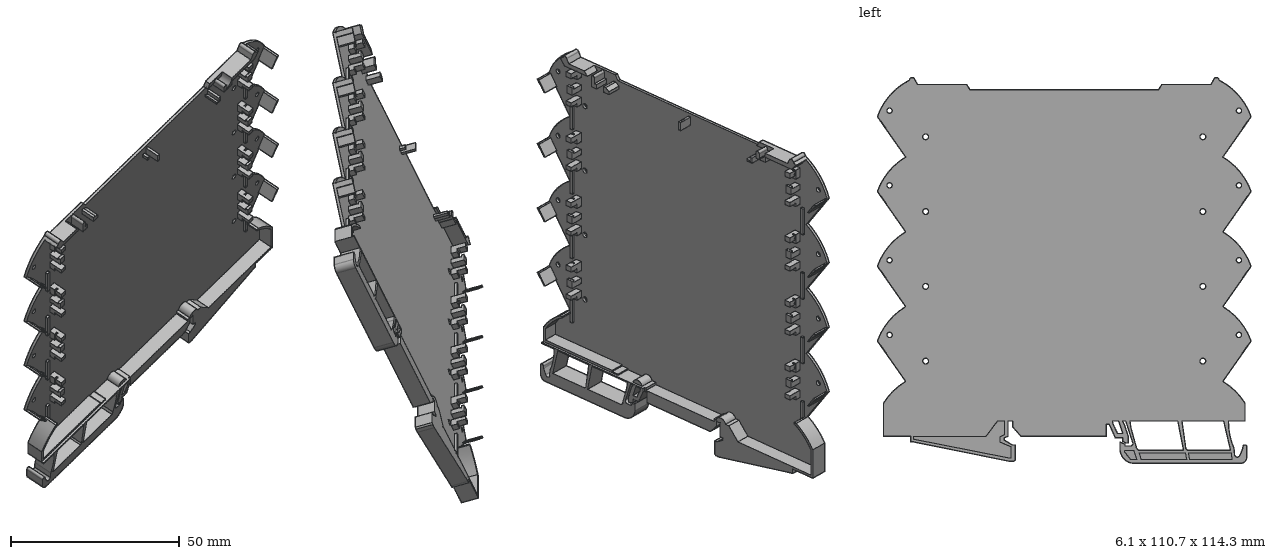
import cadquery as cq
import math


DEPTH = 6.1
WALL_DEPTH = 5.35
PLATE = 0.9
RIM_DEPTH = 1.65
LATCH_RECESS_DEPTH = 2.0
FOOT_POCKET_DEPTH = 2.6

HALF_LENGTH = 110.74 / 2
HEIGHT = 114.32
TEETH = 4
PITCH = 22.15
TOP_TIP_Z = 102.7
NOTCH_Y = 47.0
NOTCH_RISE = 10.2
TOOTH_BULGE = 1.15

TIPS = [TOP_TIP_Z - PITCH * i for i in range(TEETH)]
BASE_TIP_Z = TOP_TIP_Z - PITCH * TEETH
TOOTH_RUN = HALF_LENGTH - NOTCH_Y
FLANK_SLOPE = TOOTH_RUN / (PITCH - NOTCH_RISE)

CHORD = math.hypot(TOOTH_RUN, NOTCH_RISE)
ARC_RADIUS = (CHORD**2 / 4 + TOOTH_BULGE**2) / (2 * TOOTH_BULGE)
CENTRE_SHIFT = ARC_RADIUS - TOOTH_BULGE
ARC_Y = HALF_LENGTH - TOOTH_RUN / 2 - CENTRE_SHIFT * NOTCH_RISE / CHORD
ARC_RISE = NOTCH_RISE / 2 - CENTRE_SHIFT * TOOTH_RUN / CHORD

MIDDLE_Z = 110.7
SHELF_Z = 112.3
SHELF_BOTTOM_Z = 110.9
SHELF_LIP_Y = 46.9
SHELF_START_Y = 43.45
SHELF_END_POS = 34.7
SHELF_END_NEG = 37.3
CREST_Y = 45.1
CREST_OUTER_Y = 45.9
CREST_INNER = (44.3, 113.8)
STEP_Y = 28.9
STEP_RUN = 1.0

WALL = 0.8
BASE_HALF = 53.6
BASE_Z = 8.0
FOOT_ROOF_Z = 12.5
FLOOR_Z = BASE_Z + WALL
MIDDLE_FLOOR_Z = 12.1
ROOF_STEP = 0.4
ROOF_Z = FOOT_ROOF_Z + ROOF_STEP
ROOF_STEPS_Y = (-23.9, -26.2)
BUMP_RISE = 1.4
BUMP_LATCH_Y = (15.1, 18.9)
BUMP_FOOT_Y = (-17.9, -14.3)
MIDDLE_FLOOR_Y = (-12.8, 14.2)
BASE_SLOT_Y = -12.45
BASE_SLOT_END_Y = -13.3
BASE_SLOT_TOP_Z = 11.6
BASE_UNDERSIDE = [
    (-BASE_HALF, FOOT_ROOF_Z), (BASE_SLOT_END_Y, FOOT_ROOF_Z), (BASE_SLOT_END_Y, BASE_SLOT_TOP_Z),
    (BASE_SLOT_Y, BASE_SLOT_TOP_Z), (BASE_SLOT_Y, BASE_Z),
]

LATCH_OUTLINE = [
    (45.5, BASE_Z), (45.5, 6.4), (44.9, 6.4), (16.3, 0.6), (15.0, 0.6), (14.5, 1.0), (14.5, 5.5),
    (15.4, 5.5), (17.7, 6.9), (17.7, 7.6), (16.6, BASE_Z), (16.6, FOOT_ROOF_Z), (19.8, FOOT_ROOF_Z),
    (23.2, BASE_Z),
]
LATCH_RECESS = [
    (44.7, BASE_Z), (44.7, 7.2), (16.1, 1.55), (15.7, 1.55), (15.7, 4.9), (19.0, 6.3), (19.0, 7.9),
    (17.75, 8.5), (17.75, FOOT_ROOF_Z), (19.8, FOOT_ROOF_Z), (23.2, BASE_Z),
]
LATCH_SLOT = [
    (16.6, FOOT_ROOF_Z), (15.3, FOOT_ROOF_Z), (15.3, 10.8), (12.8, BASE_Z), (16.6, BASE_Z),
]

POCKET_TOP_Z = 3.1
POCKET_BOTTOM_Z = 1.1
WINDOW_BOTTOM_Z = 3.95
FOOT_WINDOWS = [
    [(-14.3, FOOT_ROOF_Z), (-16.1, FOOT_ROOF_Z), (-17.3, 8.9), (-15.8, 8.9), (-14.5, 11.6)],
    [(-19.5, FOOT_ROOF_Z), (-33.6, FOOT_ROOF_Z), (-35.3, WINDOW_BOTTOM_Z), (-21.9, WINDOW_BOTTOM_Z),
     (-21.4, 4.7), (-19.8, 10.5)],
    [(-34.9, FOOT_ROOF_Z), (-47.2, FOOT_ROOF_Z), (-49.2, WINDOW_BOTTOM_Z), (-36.5, WINDOW_BOTTOM_Z),
     (-36.05, 4.4)],
]
FOOT_POCKETS = [
    [(-18.0, 3.9), (-20.6, 3.9), (-21.5, POCKET_BOTTOM_Z), (-19.7, POCKET_BOTTOM_Z), (-17.8, 3.5)],
    [(-22.2, POCKET_TOP_Z), (-35.9, POCKET_TOP_Z), (-36.3, POCKET_BOTTOM_Z), (-22.8, POCKET_BOTTOM_Z)],
    [(-36.8, POCKET_TOP_Z), (-49.5, POCKET_TOP_Z), (-49.7, POCKET_BOTTOM_Z), (-37.1, POCKET_BOTTOM_Z)],
]

LIP_DROP = 1.3
LIP_STEP = 0.2
HOOK_DROP = 3.5
HOOK_THICK = 0.7
POST_Y = (42.5, 44.5)
POST_SPLIT = (2.75, 3.2)
POST_SPLIT_Y = (43.5, 44.5)
UPPER_STEP = (3.4, 4.8)
UPPER_POST = (4.8, 6.5)
UPPER_SPLIT = (5.1, 6.5)
LOWER_POST = (-4.9, -3.5)
LOWER_STEP = (-6.0, -4.9)
TIP_STOP = (-1.0, 0.8)
TIP_NIB = (0.8, 1.5)
TIP_NIB_X = (4.1, 4.95)
NOTCH_RIB_Y = (45.4, 46.4)
NOTCH_RIB = (-15.5, -6.6)

HOLES = [(51.75, 1.8, 1.5), (41.05, -5.95, 1.65)]


def arc_rise(y, inset=0.0):
    """Height of the tooth arc above its tip at a distance y from the middle."""
    return ARC_RISE + math.sqrt((ARC_RADIUS - inset) ** 2 - (y - ARC_Y) ** 2)


def arc_point(tip_z, y, side=1, inset=0.0):
    return (side * y, tip_z + arc_rise(y, inset))


def tooth_arc(sketch, tip_z, y_start, y_end, side, inset=0.0):
    """Adds the tooth arc between two distances from the middle."""
    middle = arc_point(tip_z, (y_start + y_end) / 2, side, inset)
    return sketch.threePointArc(middle, arc_point(tip_z, y_end, side, inset))


def start(point):
    return cq.Workplane("YZ").moveTo(*point)


def lines(sketch, points):
    for point in points:
        sketch = sketch.lineTo(*point)
    return sketch


def extrude(sketch, x_start, x_end):
    return sketch.close().extrude(x_end - x_start).translate((x_start, 0, 0))


def prism(points, x_start, x_end):
    return extrude(cq.Workplane("YZ").polyline(points), x_start, x_end)


def block(y_range, z_range, x_start, x_end):
    (y0, y1), (z0, z1) = y_range, z_range
    return prism([(y0, z0), (y1, z0), (y1, z1), (y0, z1)], x_start, x_end)


def both_ends(shape):
    return shape.union(shape.mirror("XZ"))


def side_plate():
    crest_outer = arc_point(TOP_TIP_Z, CREST_OUTER_Y, -1)
    top_edge = [(SHELF_START_Y, SHELF_Z), (STEP_Y, SHELF_Z), (STEP_Y - STEP_RUN, MIDDLE_Z)]
    mirrored_top_edge = [(-y, z) for y, z in reversed(top_edge)]

    sketch = start((BASE_HALF, BASE_Z)).lineTo(*arc_point(BASE_TIP_Z, BASE_HALF))
    sketch = tooth_arc(sketch, BASE_TIP_Z, BASE_HALF, NOTCH_Y, 1)
    for tip_z in reversed(TIPS):
        end_y = CREST_OUTER_Y if tip_z == TOP_TIP_Z else NOTCH_Y
        sketch = tooth_arc(sketch.lineTo(HALF_LENGTH, tip_z), tip_z, HALF_LENGTH, end_y, 1)
    sketch = sketch.threePointArc((CREST_Y, HEIGHT), CREST_INNER)
    sketch = lines(sketch, top_edge + mirrored_top_edge)
    sketch = sketch.lineTo(-CREST_INNER[0], CREST_INNER[1])
    sketch = sketch.threePointArc((-CREST_Y, HEIGHT), crest_outer)
    for tip_z in TIPS:
        start_y = CREST_OUTER_Y if tip_z == TOP_TIP_Z else NOTCH_Y
        sketch = tooth_arc(sketch, tip_z, start_y, HALF_LENGTH, -1)
        sketch = sketch.lineTo(*arc_point(tip_z - PITCH, NOTCH_Y, -1))
    sketch = tooth_arc(sketch, BASE_TIP_Z, NOTCH_Y, BASE_HALF, -1)
    return extrude(lines(sketch, BASE_UNDERSIDE), 0, PLATE)


def base_bump(sketch, y_start, y_end):
    """Rounded rise of the base floor over a slot."""
    return sketch.threePointArc(((y_start + y_end) / 2, ROOF_Z + BUMP_RISE), (y_end, ROOF_Z))


def base_tray():
    """Walled base up to the lowest notches, hollow and open towards +X."""
    outer = start((BASE_HALF, BASE_Z)).lineTo(*arc_point(BASE_TIP_Z, BASE_HALF))
    outer = tooth_arc(outer, BASE_TIP_Z, BASE_HALF, NOTCH_Y, 1)
    outer = outer.lineTo(*arc_point(BASE_TIP_Z, NOTCH_Y, -1))
    outer = tooth_arc(outer, BASE_TIP_Z, NOTCH_Y, BASE_HALF, -1)
    outer = lines(outer, BASE_UNDERSIDE)

    side_y = BASE_HALF - WALL
    top_y = NOTCH_Y - WALL
    first_step, second_step = ROOF_STEPS_Y
    raised_z = ROOF_Z + ROOF_STEP
    highest_z = raised_z + ROOF_STEP
    floor_neg, floor_pos = MIDDLE_FLOOR_Y
    inner = start((side_y, FLOOR_Z)).lineTo(*arc_point(BASE_TIP_Z, side_y, 1, WALL))
    inner = tooth_arc(inner, BASE_TIP_Z, side_y, top_y, 1, WALL)
    inner = lines(inner, [(top_y, HEIGHT), (-top_y, HEIGHT), arc_point(BASE_TIP_Z, top_y, -1, WALL)])
    inner = tooth_arc(inner, BASE_TIP_Z, top_y, side_y, -1, WALL)
    inner = lines(inner, [(-side_y, highest_z), (second_step, highest_z), (second_step, raised_z),
                          (first_step, raised_z), (first_step, ROOF_Z), (BUMP_FOOT_Y[0], ROOF_Z)])
    inner = base_bump(inner, *BUMP_FOOT_Y)
    inner = lines(inner, [(floor_neg, ROOF_Z), (floor_neg, MIDDLE_FLOOR_Z), (floor_pos, MIDDLE_FLOOR_Z),
                          (floor_pos, ROOF_Z), (BUMP_LATCH_Y[0], ROOF_Z)])
    inner = base_bump(inner, *BUMP_LATCH_Y)
    inner = lines(inner, [(20.2, ROOF_Z), (23.8, FLOOR_Z)])
    return extrude(outer, 0, WALL_DEPTH).cut(extrude(inner, PLATE, WALL_DEPTH))


def add_latch(body):
    """Wedge-shaped latch beside a slot, with its web set back from the plate face."""
    body = body.cut(prism(LATCH_SLOT, 0, WALL_DEPTH))
    body = body.union(prism(LATCH_OUTLINE, 0, WALL_DEPTH))
    return body.cut(prism(LATCH_RECESS, 0, LATCH_RECESS_DEPTH))


def foot():
    """Ribbed rail foot with two spring fingers, a sole with pockets and an upturned end."""
    sketch = start((-16.5, 6.4)).lineTo(-16.5, 3.9)
    sketch = sketch.threePointArc((-17.75, 1.25), (-20.4, 0)).lineTo(-52.2, 0)
    sketch = sketch.threePointArc((-53.5, 0.5), (-54.1, 1.8)).lineTo(-54.1, 4.9)
    sketch = sketch.threePointArc((-53.5, 5.5), (-52.9, 4.9))
    sketch = lines(sketch, [(-52.8, 4.3), (-52.0, 2.4)])
    sketch = sketch.threePointArc((-51.2, 1.9), (-50.5, 2.4)).lineTo(-50.3, 4.5)
    sketch = sketch.threePointArc((-49.0, 8.7), (-48.7, FOOT_ROOF_Z))
    sketch = lines(sketch, [(-BASE_HALF, FOOT_ROOF_Z), (-BASE_HALF, ROOF_Z), (BASE_SLOT_END_Y, ROOF_Z),
                            (BASE_SLOT_END_Y, BASE_SLOT_TOP_Z)])
    sketch = lines(sketch, [(-15.1, 7.6), (-17.3, 7.6), (-17.3, 6.5), (-18.3, 6.0), (-19.0, 6.0),
                            (-19.0, 8.0), (-17.8, 11.6), (-17.3, FOOT_ROOF_Z), (-18.2, FOOT_ROOF_Z),
                            (-20.2, 6.3)])
    sketch = sketch.threePointArc((-20.2, 5.5), (-19.5, 5.2))
    shape = extrude(lines(sketch, [(-18.0, 5.2), (-18.0, 5.7)]), 0, DEPTH)
    for window in FOOT_WINDOWS:
        shape = shape.cut(prism(window, 0, DEPTH))
    for pocket in FOOT_POCKETS:
        shape = shape.cut(prism(pocket, 0, FOOT_POCKET_DEPTH))
    return shape


def terminal_hook(tip_z):
    """Hook along the lower flank of a tooth, with a lip at the tip."""
    def flank(drop_start, drop_end, inset):
        corners = [(drop_start, inset), (drop_end, inset), (drop_end, HOOK_THICK), (drop_start, HOOK_THICK)]
        points = [(HALF_LENGTH - FLANK_SLOPE * drop - inward, tip_z - drop) for drop, inward in corners]
        return prism(points, 0, DEPTH)

    return flank(0, LIP_DROP, 0).union(flank(LIP_DROP, HOOK_DROP, LIP_STEP))


def terminal_posts(tip_z):
    """Stepped posts above, beside and below the tip; the upper one is split at its front."""
    def post(rise, x_end, x_start=0.0, y_range=POST_Y):
        return block(y_range, (tip_z + rise[0], tip_z + rise[1]), x_start, x_end)

    split_start, split_end = POST_SPLIT
    nib_start, nib_end = TIP_NIB_X
    upper = post(UPPER_POST, WALL_DEPTH).cut(post(UPPER_SPLIT, split_end, split_start, POST_SPLIT_Y))
    upper = upper.union(post(UPPER_STEP, split_start))
    beside = post(TIP_STOP, nib_end).union(post(TIP_NIB, nib_end, nib_start))
    lower = post(LOWER_POST, WALL_DEPTH).union(post(LOWER_STEP, split_start))
    return upper.union(beside).union(lower)


def notch_rib(tip_z):
    """Low upright rib just inside the notch below a tooth."""
    return block(NOTCH_RIB_Y, (tip_z + NOTCH_RIB[0], tip_z + NOTCH_RIB[1]), 0, RIM_DEPTH)


def shelf(end_y):
    """Flat wall along the top edge with a rounded crest and an undercut lip at its outer end."""
    sketch = start((CREST_Y, SHELF_BOTTOM_Z)).lineTo(*arc_point(TOP_TIP_Z, SHELF_LIP_Y))
    sketch = tooth_arc(sketch, TOP_TIP_Z, SHELF_LIP_Y, CREST_OUTER_Y, 1)
    sketch = sketch.threePointArc((CREST_Y, HEIGHT), CREST_INNER)
    sketch = lines(sketch, [(SHELF_START_Y, SHELF_Z), (end_y, SHELF_Z), (end_y, SHELF_BOTTOM_Z)])
    return extrude(sketch, 0, WALL_DEPTH)


def top_edge_walls():
    """Shelves at both ends of the top edge, with their inner ends and the thick edge beside."""
    thick_edge = [(SHELF_END_POS, SHELF_Z), (STEP_Y, SHELF_Z), (STEP_Y - STEP_RUN, MIDDLE_Z),
                  (SHELF_END_POS, MIDDLE_Z)]
    hollow_end = start((SHELF_END_POS, SHELF_Z)).threePointArc((33.9, 110.6), (32.4, 109.7))
    hollow_end = lines(hollow_end, [(32.4, 109.2), (SHELF_END_POS, 109.2)])
    sloped_end = [(-SHELF_END_NEG, SHELF_Z), (-36.1, SHELF_BOTTOM_Z), (-SHELF_END_NEG, SHELF_BOTTOM_Z)]

    walls = [
        shelf(SHELF_END_POS),
        prism(thick_edge, 0, RIM_DEPTH),
        extrude(hollow_end, 0, WALL_DEPTH),
        shelf(SHELF_END_NEG).mirror("XZ"),
        prism(sloped_end, 0, WALL_DEPTH),
    ]
    return walls


def rounded_rib(y_start, y_end, bottom_z, top_z):
    """Rib standing off the plate with a fully rounded top."""
    radius = (y_end - y_start) / 2
    sketch = start((y_start, bottom_z)).lineTo(y_start, top_z - radius)
    sketch = sketch.threePointArc((y_start + radius, top_z), (y_end, top_z - radius))
    return extrude(sketch.lineTo(y_end, bottom_z), 0, WALL_DEPTH)


def top_edge_ribs():
    """Catches near the shelves and a stop at the middle of the top edge."""
    catch_pos = [(29.4, 106.8), (29.4, 108.6), (28.6, 108.6), (28.6, 107.0), (27.5, 107.7), (27.5, 106.8)]
    catch_neg = [(-29.6, 108.0), (-29.6, 109.9), (-28.8, 109.9), (-27.5, 109.0), (-27.5, 108.0)]
    ribs = [
        rounded_rib(31.0, 32.3, 109.2, 111.8),
        prism(catch_pos, 0, WALL_DEPTH),
        rounded_rib(-34.5, -33.3, 108.0, 112.0),
        block((-33.4, -32.4), (108.0, 109.5), 0, WALL_DEPTH),
        prism(catch_neg, 0, WALL_DEPTH),
        block((0.2, 1.0), (106.8, 109.6), 0, WALL_DEPTH),
        block((-1.4, -0.6), (106.8, 108.0), 0, POST_SPLIT[0]),
    ]
    return ribs


def plate_holes(tip_z):
    """Through holes beside a tooth on the +Y side."""
    (edge_y, edge_rise, edge_diameter), (inner_y, inner_rise, inner_diameter) = HOLES
    edge = cq.Workplane("YZ").center(edge_y, tip_z + edge_rise).circle(edge_diameter / 2)
    inner = cq.Workplane("YZ").center(inner_y, tip_z + inner_rise).circle(inner_diameter / 2)
    return edge.extrude(DEPTH).union(inner.extrude(DEPTH))


body = add_latch(side_plate().union(base_tray())).union(foot())
for tip_z in TIPS:
    for feature in (terminal_hook, terminal_posts, notch_rib):
        body = body.union(both_ends(feature(tip_z)))
for wall in top_edge_walls() + top_edge_ribs():
    body = body.union(wall)
for tip_z in TIPS:
    body = body.cut(both_ends(plate_holes(tip_z)))

result = body.clean()